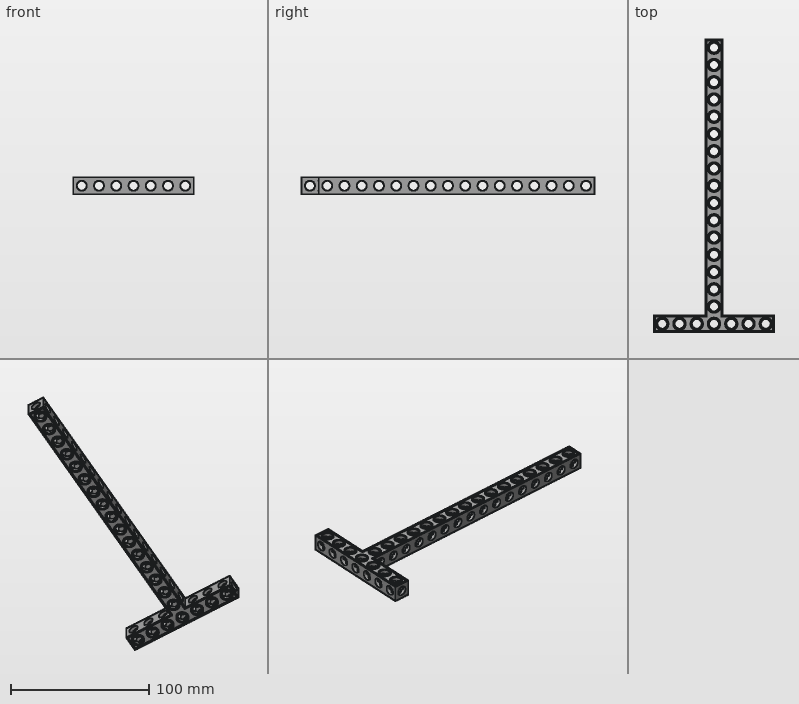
import cadquery as cq

length = 212.5
stem_cells = 17
bar_cells = 7
hole_diameter = 7.0
boss_diameter = 9.1
rim_width = 1.0
recess_depth = 0.2

pitch = length / stem_cells
bar_length = bar_cells * pitch
recess_z = (pitch - recess_depth) / 2


def cell_centres(count):
    """Centres of a row of cells that is symmetric about zero."""
    return [(i - (count - 1) / 2) * pitch for i in range(count)]


bar_columns = cell_centres(bar_cells)
stem_rows = cell_centres(stem_cells)
bar_y = stem_rows[0]
bar_centres = [(x, bar_y) for x in bar_columns]
stem_centres = [(0, y) for y in stem_rows[1:]]


def tee(height, inset=0.0):
    """T-shaped block centred on z = 0, its outline moved inward by the inset."""
    width = pitch - 2 * inset
    stem = cq.Workplane("XY").box(width, length - 2 * inset, height)
    bar = cq.Workplane("XY").box(bar_length - 2 * inset, width, height)
    return stem.union(bar.translate((0, bar_y, 0)))


def rods(plane, centres, diameter, rod_length):
    """Round rods along the plane normal, centred on the plane."""
    sketch = cq.Workplane(plane).pushPoints(centres).circle(diameter / 2)
    return sketch.extrude(rod_length / 2, both=True)


body = tee(pitch)
recess = tee(recess_depth, rim_width)
for side in (1, -1):
    body = body.cut(recess.translate((0, 0, side * recess_z)))

vertical_centres = bar_centres + stem_centres
body = body.union(rods("XY", vertical_centres, boss_diameter, pitch))

body = body.cut(rods("XY", vertical_centres, hole_diameter, pitch))
body = body.cut(rods("XZ", [(x, 0) for x in bar_columns], hole_diameter, length))
body = body.cut(rods("YZ", [(y, 0) for y in stem_rows], hole_diameter, bar_length))

result = body